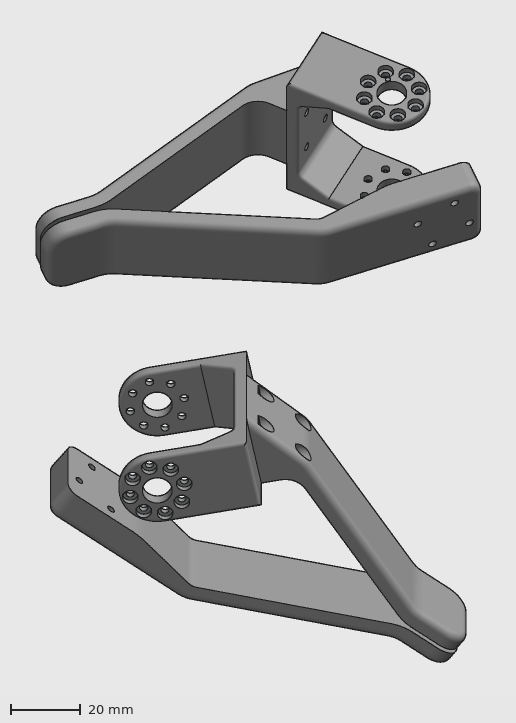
import cadquery as cq
import math


BRACKET_ANGLE = 41.6
BRACKET_HEIGHT = 49.5
ARM_RADIUS = 11.0
WALL = 3.8
BACK_DISTANCE = 28.3
HAUNCH_LENGTH = 9.7
HAUNCH_DROP = 4.7
HAUNCH_RADIUS = 2.5
BRACKET_EDGE_RADIUS = 1.0
BORE_DIAMETER = 8.5
BOLT_COUNT = 8
BOLT_CIRCLE_RADIUS = 8.1
BOLT_PHASE = -5.1
BOLT_HOLE_DIAMETER = 2.4
BOLT_HEAD_DIAMETER = 4.5
BOLT_HEAD_DEPTH = 1.9
MARK_DIAMETER = 1.5
MARK_HEIGHT = 0.2
MARK_BOLT_INDEX = 3

SCREW_HOLE_DIAMETER = 2.4
SCREW_HEAD_DIAMETER = 5.3
SCREW_SEAT_THICKNESS = 2.7
SCREW_SPACING_ACROSS = 11.7
SCREW_SPACING_Z = 16.0

FINGER_HEIGHT = 25.1
FINGER_THICKNESS = 5.2
FINGER_EDGE_RADIUS = 2.1
TIP_CORNER_RADIUS = 7.1

LEFT_GRIP_X = -0.9
LEFT_TIP_Y = -108.0
LEFT_SHOULDER = (-27.4, -33.4)
LEFT_MID_Z = 0.1
LEFT_UPPER_LEAN = 3.1
LEFT_KNEE_Y = -89.1
LEFT_BEND_RADIUS = 10.4
LEFT_CROTCH_RADIUS = 6.8

RIGHT_GRIP_X = -0.2
RIGHT_TIP_Y = -108.1
RIGHT_MID_Z = -0.9
RIGHT_OUTER_X = 31.0
RIGHT_SHOULDER_Y = -33.3
RIGHT_KNEE_Y = -89.6
RIGHT_BEND_RADIUS = 9.9
RIGHT_INNER_BEND_RADIUS = 4.2
PAD_TOP_Y = 16.0
PAD_THICKNESS = 9.8
PAD_TAPER_Y = -9.5
PAD_TAPER_RADIUS = 23.6
PAD_CORNER_RADIUS = 3.4
PAD_HOLE_DIAMETER = 2.4
PAD_HOLE_COUNT = 4
PAD_HOLE_CIRCLE_RADIUS = 8.7
PAD_HOLE_CENTER_Y = 4.0
PAD_HOLE_PHASE = 66.7

MARGIN = 12.4
NEAR = 0.1
HALF_HEIGHT = BRACKET_HEIGHT / 2


def slab_selector(center, reach_x, reach_y, reach_z):
    """Selects what has its center within the given reach of a point."""
    x, y, z = center
    return cq.selectors.BoxSelector(
        (x - reach_x, y - reach_y, z - reach_z),
        (x + reach_x, y + reach_y, z + reach_z),
    )


def place_on_bracket(shape):
    """Turns a shape from the bracket's own direction (X) to its real direction."""
    return shape.rotate((0, 0, 0), (0, 0, 1), BRACKET_ANGLE)


def bracket_point(along, across):
    """Plan position of a point given in the bracket's own direction."""
    turn = math.radians(BRACKET_ANGLE)
    return (
        along * math.cos(turn) - across * math.sin(turn),
        along * math.sin(turn) + across * math.cos(turn),
    )


def polar_point(radius, angle):
    return radius * math.cos(math.radians(angle)), radius * math.sin(math.radians(angle))


def bolt_angle(index):
    return BOLT_PHASE + index * 360 / BOLT_COUNT


def screw_cylinders(diameter, start, length):
    """Four cylinders along the bracket direction, at the screw positions."""
    return (
        cq.Workplane("YZ", origin=(start, 0, 0))
        .rarray(SCREW_SPACING_ACROSS, SCREW_SPACING_Z, 2, 2)
        .circle(diameter / 2)
        .extrude(length)
    )


def bracket_blank():
    """U of two round-nosed arms and a web, with its edges rounded."""
    inner_x = WALL - BACK_DISTANCE
    arm_z = HALF_HEIGHT - WALL
    haunch_z = arm_z - HAUNCH_DROP
    haunch_x = inner_x + HAUNCH_LENGTH
    open_x = ARM_RADIUS + MARGIN
    web_front = slab_selector((inner_x, 0, 0), NEAR, MARGIN, arm_z)
    plan = (
        cq.Workplane("XY", origin=(0, 0, -HALF_HEIGHT))
        .moveTo(-BACK_DISTANCE, -ARM_RADIUS)
        .lineTo(0, -ARM_RADIUS)
        .threePointArc((ARM_RADIUS, 0), (0, ARM_RADIUS))
        .lineTo(-BACK_DISTANCE, ARM_RADIUS)
        .close()
        .extrude(BRACKET_HEIGHT)
    )
    opening = (
        cq.Workplane("XZ")
        .polyline([
            (open_x, arm_z),
            (haunch_x, arm_z),
            (inner_x, haunch_z),
            (inner_x, -haunch_z),
            (haunch_x, -arm_z),
            (open_x, -arm_z),
        ])
        .close()
        .extrude(ARM_RADIUS + MARGIN, both=True)
        .edges("|Y")
        .edges(web_front)
        .fillet(HAUNCH_RADIUS)
    )
    blank = plan.cut(opening)
    side_outlines = blank.edges("not(|Y or |Z)")
    back_ends = blank.faces("<X").edges("|Y")
    web_uprights = blank.edges("|Z").edges(web_front)
    return side_outlines.add(back_ends).add(web_uprights).fillet(BRACKET_EDGE_RADIUS)


def make_bracket():
    body = bracket_blank()
    bolts = [polar_point(BOLT_CIRCLE_RADIUS, bolt_angle(i)) for i in range(BOLT_COUNT)]
    bottom = cq.Workplane("XY", origin=(0, 0, -HALF_HEIGHT))
    body = body.cut(bottom.circle(BORE_DIAMETER / 2).extrude(BRACKET_HEIGHT))
    body = body.cut(bottom.pushPoints(bolts).circle(BOLT_HOLE_DIAMETER / 2).extrude(BRACKET_HEIGHT))
    for floor_z in (-HALF_HEIGHT, HALF_HEIGHT - BOLT_HEAD_DEPTH):
        heads = cq.Workplane("XY", origin=(0, 0, floor_z)).pushPoints(bolts)
        body = body.cut(heads.circle(BOLT_HEAD_DIAMETER / 2).extrude(BOLT_HEAD_DEPTH))
    body = body.cut(screw_cylinders(SCREW_HOLE_DIAMETER, -BACK_DISTANCE, WALL))

    bolt_head_inner_radius = BOLT_CIRCLE_RADIUS - BOLT_HEAD_DIAMETER / 2
    mark_radius = (BORE_DIAMETER / 2 + bolt_head_inner_radius) / 2
    mark = (
        cq.Workplane("XY", origin=(0, 0, HALF_HEIGHT - WALL / 2))
        .center(*polar_point(mark_radius, bolt_angle(MARK_BOLT_INDEX)))
        .circle(MARK_DIAMETER / 2)
        .extrude(WALL / 2 + MARK_HEIGHT)
    )
    return place_on_bracket(body.union(mark))


def line_crossing(p, p_direction, q, q_direction):
    """Point where two plan lines cross."""
    cross = p_direction[0] * q_direction[1] - p_direction[1] * q_direction[0]
    step = ((q[0] - p[0]) * q_direction[1] - (q[1] - p[1]) * q_direction[0]) / cross
    return p[0] + step * p_direction[0], p[1] + step * p_direction[1]


def round_bend(blank, point, radius):
    """Rounds the upright edge that stands at a plan point."""
    corner = slab_selector((*point, 0), NEAR, NEAR, MARGIN)
    return blank.edges("|Z").edges(corner).fillet(radius)


def finger_blank(outline, bends):
    """Extrudes a plan outline and rounds its bends, given as (point, radius)."""
    blank = (
        cq.Workplane("XY", origin=(0, 0, -FINGER_HEIGHT / 2))
        .polyline(outline)
        .close()
        .extrude(FINGER_HEIGHT)
    )
    for point, radius in bends:
        blank = round_bend(blank, point, radius)
    return blank


def round_tip_and_outer_edge(blank, outer_side):
    """Rounds the tip's corners, then the edge that runs along the outer face around the tip."""
    blank = blank.faces("<Y").edges("|X").fillet(TIP_CORNER_RADIUS)
    outer_edge = blank.faces("<Y").edges("|Z").edges(outer_side)
    return outer_edge.fillet(FINGER_EDGE_RADIUS)


def make_left_finger():
    outer_x = LEFT_GRIP_X - FINGER_THICKNESS
    knee = (outer_x, LEFT_KNEE_Y)
    lean = math.atan2(knee[0] - LEFT_SHOULDER[0], LEFT_SHOULDER[1] - knee[1])
    inner_knee = (LEFT_GRIP_X, LEFT_KNEE_Y + FINGER_THICKNESS * math.tan(lean / 2))
    back_outer_y = bracket_point(-BACK_DISTANCE, ARM_RADIUS)[1]
    back_inner = bracket_point(-BACK_DISTANCE, -ARM_RADIUS)
    arm_direction = bracket_point(1, 0)
    crotch = line_crossing(back_inner, arm_direction, inner_knee, (-math.sin(lean), math.cos(lean)))
    top_outer_y = back_outer_y + MARGIN
    upper_slope = math.tan(math.radians(LEFT_UPPER_LEAN))
    top_outer_x = LEFT_SHOULDER[0] - (top_outer_y - LEFT_SHOULDER[1]) * upper_slope
    top_outer = (top_outer_x, top_outer_y)
    top_inner = bracket_point(MARGIN - BACK_DISTANCE, -ARM_RADIUS)
    outline = [
        top_outer, LEFT_SHOULDER, knee, (outer_x, LEFT_TIP_Y),
        (LEFT_GRIP_X, LEFT_TIP_Y), inner_knee, crotch, top_inner,
    ]
    bends = [
        (LEFT_SHOULDER, LEFT_BEND_RADIUS),
        (knee, LEFT_BEND_RADIUS),
        (inner_knee, LEFT_BEND_RADIUS + FINGER_THICKNESS),
        (crotch, LEFT_CROTCH_RADIUS),
    ]
    finger = round_tip_and_outer_edge(finger_blank(outline, bends), "<X")
    beyond_width = 2 * (ARM_RADIUS + MARGIN)
    beyond_back = (
        cq.Workplane("XY")
        .box(BACK_DISTANCE + MARGIN, beyond_width, 2 * FINGER_HEIGHT, centered=(False, True, True))
        .translate((-BACK_DISTANCE, 0, 0))
    )
    finger = finger.cut(place_on_bracket(beyond_back)).translate((0, 0, LEFT_MID_Z))
    seat_x = -BACK_DISTANCE - SCREW_SEAT_THICKNESS
    holes = screw_cylinders(SCREW_HOLE_DIAMETER, seat_x, SCREW_SEAT_THICKNESS)
    heads = screw_cylinders(SCREW_HEAD_DIAMETER, seat_x, -2 * MARGIN)
    return finger.cut(place_on_bracket(holes)).cut(place_on_bracket(heads))


def make_right_finger():
    outer_knee_x = RIGHT_GRIP_X + FINGER_THICKNESS
    shoulder = (RIGHT_OUTER_X, RIGHT_SHOULDER_Y)
    knee = (outer_knee_x, RIGHT_KNEE_Y)
    lean = math.atan2(shoulder[0] - knee[0], shoulder[1] - knee[1])
    miter_rise = FINGER_THICKNESS * math.tan(lean / 2)
    inner_shoulder = (RIGHT_OUTER_X - FINGER_THICKNESS, RIGHT_SHOULDER_Y + miter_rise)
    inner_knee = (RIGHT_GRIP_X, RIGHT_KNEE_Y + miter_rise)
    pad_inner_x = RIGHT_OUTER_X - PAD_THICKNESS
    taper_start = (pad_inner_x, PAD_TAPER_Y)
    outline = [
        (RIGHT_OUTER_X, PAD_TOP_Y), shoulder, knee, (outer_knee_x, RIGHT_TIP_Y),
        (RIGHT_GRIP_X, RIGHT_TIP_Y), inner_knee, inner_shoulder,
        taper_start, (pad_inner_x, PAD_TOP_Y),
    ]
    bends = [
        (shoulder, RIGHT_BEND_RADIUS),
        (knee, RIGHT_BEND_RADIUS),
        (inner_knee, RIGHT_BEND_RADIUS + FINGER_THICKNESS),
        (inner_shoulder, RIGHT_INNER_BEND_RADIUS),
        (taper_start, PAD_TAPER_RADIUS),
    ]
    blank = finger_blank(outline, bends).faces(">Y").edges("|X").fillet(PAD_CORNER_RADIUS)
    finger = round_tip_and_outer_edge(blank, ">X")
    hole_points = [
        polar_point(PAD_HOLE_CIRCLE_RADIUS, PAD_HOLE_PHASE + i * 360 / PAD_HOLE_COUNT)
        for i in range(PAD_HOLE_COUNT)
    ]
    holes = (
        cq.Workplane("YZ", origin=(pad_inner_x, PAD_HOLE_CENTER_Y, 0))
        .pushPoints(hole_points)
        .circle(PAD_HOLE_DIAMETER / 2)
        .extrude(PAD_THICKNESS)
    )
    return finger.cut(holes).translate((0, 0, RIGHT_MID_Z))


bracket = make_bracket()
left_finger = make_left_finger()
right_finger = make_right_finger()

result = cq.Compound.makeCompound([bracket.val(), left_finger.val(), right_finger.val()])